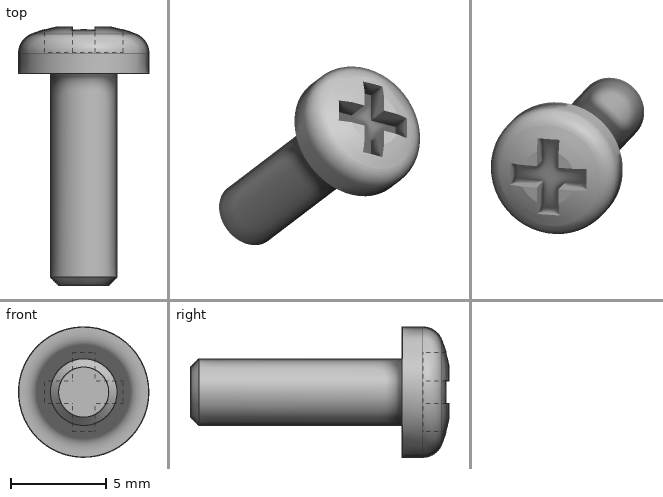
import cadquery as cq
import math

total_length = 13.59
head_radius = 6.86 / 2
shank_radius = 3.5 / 2
tip_chamfer = 0.43

head_height = 2.46
rim_height = 1.06
shoulder_height = 2.08
shoulder_radius = 2.75
crown_radius = 1.5
dome_arc_radius = 7.88

recess_width = 1.18
recess_span = 4.15
recess_depth = 1.36

shank_length = total_length - head_height


def arc_midpoint(start, end, radius):
    """Middle of the arc from start to end that bulges to the right and upwards."""
    dx = end[0] - start[0]
    dy = end[1] - start[1]
    chord = math.hypot(dx, dy)
    bulge = radius - math.sqrt(radius**2 - (chord / 2) ** 2)
    return (
        (start[0] + end[0]) / 2 + bulge * dy / chord,
        (start[1] + end[1]) / 2 - bulge * dx / chord,
    )


def make_head():
    rim_top = (head_radius, rim_height)
    dome_start = (shoulder_radius, shoulder_height)
    dome_end = (crown_radius, head_height)
    return (
        cq.Workplane("XY")
        .lineTo(head_radius, 0)
        .lineTo(*rim_top)
        .tangentArcPoint(dome_start, relative=False)
        .threePointArc(arc_midpoint(dome_start, dome_end, dome_arc_radius), dome_end)
        .lineTo(0, head_height)
        .close()
        .revolve(360, (0, 0, 0), (0, 1, 0))
    )


def make_shank():
    return (
        cq.Workplane("XZ")
        .circle(shank_radius)
        .extrude(shank_length)
        .faces("<Y")
        .chamfer(tip_chamfer)
    )


def make_cross_recess():
    recess_floor = head_height - recess_depth
    arm = (
        cq.Workplane("XZ", origin=(0, recess_floor, 0))
        .rect(recess_span, recess_width)
        .extrude(-recess_depth)
    )
    return arm.union(arm.rotate((0, 0, 0), (0, 1, 0), 90))


result = make_head().union(make_shank()).cut(make_cross_recess())